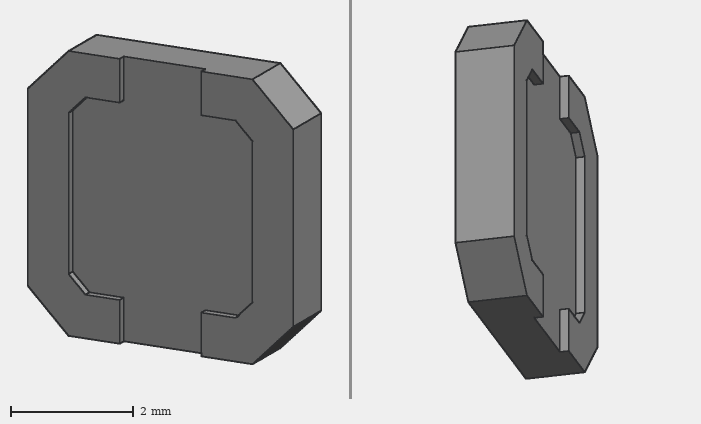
import cadquery as cq
import math

side = 4.88
thickness = 1.0
corner = 0.75
rim_width = 0.75
gap_width = 1.5
recess_depth = 0.15

inner_side = side - 2 * rim_width
inner_corner = corner - rim_width * (2 - math.sqrt(2))

front_y = -thickness / 2


def chamfered_square(size, chamfer, depth):
    """Square plate with chamfered corners, from the front face toward +Y."""
    return (
        cq.Workplane("XY")
        .box(size, depth, size)
        .edges("|Y")
        .chamfer(chamfer)
        .translate((0, front_y + depth / 2, 0))
    )


def rim_gap():
    """Straight channel along Z that opens the rim at both ends."""
    return (
        cq.Workplane("XY")
        .box(gap_width, recess_depth, side)
        .translate((0, front_y + recess_depth / 2, 0))
    )


body = chamfered_square(side, corner, thickness)
recess = chamfered_square(inner_side, inner_corner, recess_depth)
result = body.cut(recess.union(rim_gap()))